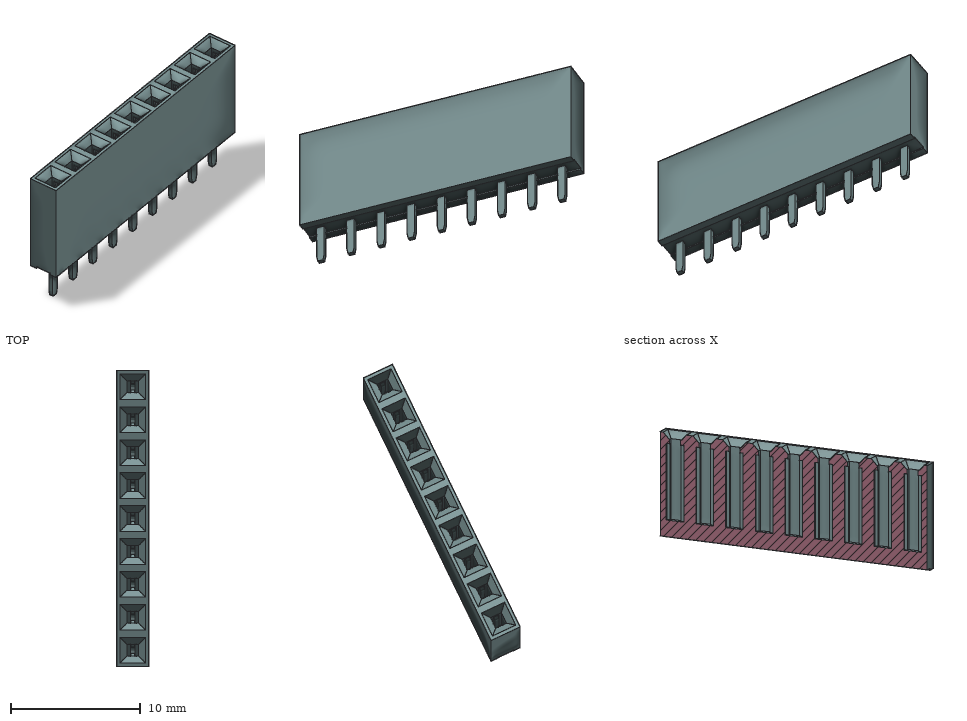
import cadquery as cq
import math

POSITIONS = 9
LENGTH = 22.85
WIDTH = 2.5
HOUSING_HEIGHT = 8.5
PITCH = LENGTH / POSITIONS
FOOT_WIDTH = 0.6
FOOT_HEIGHT = 0.14

MOUTH_SIDE = 2.0
CAVITY_SIDE = 0.91
FUNNEL_DEPTH = (MOUTH_SIDE - CAVITY_SIDE) / 2
FLOOR_THICKNESS = 1.37
GUIDE_SLOT_DROP = 0.37
GUIDE_SLOT_WIDTH = 0.55

CONTACT_THICKNESS = 0.35
CONTACT_WIDTH = 1.46
CONTACT_DROP = 0.5
FORK_RADIUS = 0.37
FORK_BOTTOM_THICKNESS = 0.45
THROAT_WIDTH = 0.48
THROAT_ROUNDING = 0.27
LEAD_IN_ANGLE = math.radians(41)
TAIL_WIDTH = 0.65
TAIL_LENGTH = 3.0
TIP_WIDTH = 0.43
TIP_HEIGHT = 0.48

FLOOR_Z = FOOT_HEIGHT + FLOOR_THICKNESS
FUNNEL_BOTTOM_Z = HOUSING_HEIGHT - FUNNEL_DEPTH
FORK_CENTER_Z = FLOOR_Z + FORK_BOTTOM_THICKNESS + FORK_RADIUS
GUIDE_SLOT_TOP_Z = FUNNEL_BOTTOM_Z - GUIDE_SLOT_DROP
TINE_TIP_Z = FUNNEL_BOTTOM_Z - CONTACT_DROP

POSITION_YS = [(i - (POSITIONS - 1) / 2) * PITCH for i in range(POSITIONS)]


def make_socket_cutter(y):
    """Funnel, cavity, guide slots for the tine edges and tail opening of one socket."""
    funnel = (
        cq.Workplane("XY", origin=(0, y, FUNNEL_BOTTOM_Z))
        .rect(CAVITY_SIDE, CAVITY_SIDE)
        .workplane(offset=FUNNEL_DEPTH)
        .rect(MOUTH_SIDE, MOUTH_SIDE)
        .loft(ruled=True)
    )
    cavity = (
        cq.Workplane("XY", origin=(0, y, FLOOR_Z))
        .rect(CAVITY_SIDE, CAVITY_SIDE)
        .extrude(FUNNEL_BOTTOM_Z - FLOOR_Z)
    )
    guide_slots = (
        cq.Workplane("XY", origin=(0, y, FLOOR_Z))
        .rect(GUIDE_SLOT_WIDTH, CONTACT_WIDTH)
        .extrude(GUIDE_SLOT_TOP_Z - FLOOR_Z)
    )
    tail_opening = (
        cq.Workplane("XY", origin=(0, y, 0))
        .rect(CONTACT_THICKNESS, TAIL_WIDTH)
        .extrude(FLOOR_Z)
    )
    return funnel.union(cavity).union(guide_slots).union(tail_opening)


def make_housing():
    """Block with a foot along each long side and a row of sockets."""
    housing = cq.Workplane("XY").box(WIDTH, LENGTH, HOUSING_HEIGHT, centered=(True, True, False))
    underside_channel = cq.Workplane("XY").box(
        WIDTH - 2 * FOOT_WIDTH, LENGTH, FOOT_HEIGHT, centered=(True, True, False)
    )
    housing = housing.cut(underside_channel)
    for y in POSITION_YS:
        housing = housing.cut(make_socket_cutter(y))
    return housing


def make_contact(y):
    """Flat fork that stands on the cavity floor, its tail passing down through the housing."""
    half_width = CONTACT_WIDTH / 2
    half_tail = TAIL_WIDTH / 2
    half_tip = TIP_WIDTH / 2

    rounding_turn = math.pi / 2 - LEAD_IN_ANGLE
    rounding_center_y = THROAT_WIDTH / 2 + THROAT_ROUNDING
    lead_in_start_y = rounding_center_y - THROAT_ROUNDING * math.cos(rounding_turn)
    lead_in_start_z = TINE_TIP_Z - (half_width - lead_in_start_y) * math.tan(LEAD_IN_ANGLE)
    throat_z = lead_in_start_z - THROAT_ROUNDING * math.sin(rounding_turn)
    rounding_mid_y = rounding_center_y - THROAT_ROUNDING * math.cos(rounding_turn / 2)
    rounding_mid_z = throat_z + THROAT_ROUNDING * math.sin(rounding_turn / 2)

    throat = (THROAT_WIDTH / 2, throat_z)
    rounding_mid = (rounding_mid_y, rounding_mid_z)
    lead_in_start = (lead_in_start_y, lead_in_start_z)
    half_profile = (
        cq.Workplane("YZ", origin=(-CONTACT_THICKNESS / 2, y, 0))
        .moveTo(0, -TAIL_LENGTH)
        .lineTo(half_tip, -TAIL_LENGTH)
        .lineTo(half_tail, -TAIL_LENGTH + TIP_HEIGHT)
        .lineTo(half_tail, FLOOR_Z)
        .lineTo(half_width, FLOOR_Z)
        .lineTo(half_width, TINE_TIP_Z)
        .lineTo(*lead_in_start)
        .threePointArc(rounding_mid, throat)
        .lineTo(FORK_RADIUS, FORK_CENTER_Z)
        .radiusArc((0, FORK_CENTER_Z - FORK_RADIUS), FORK_RADIUS)
    )
    return half_profile.mirrorY().extrude(CONTACT_THICKNESS)


housing = make_housing()
contacts = [make_contact(y).val() for y in POSITION_YS]

result = cq.Compound.makeCompound([housing.val(), *contacts])